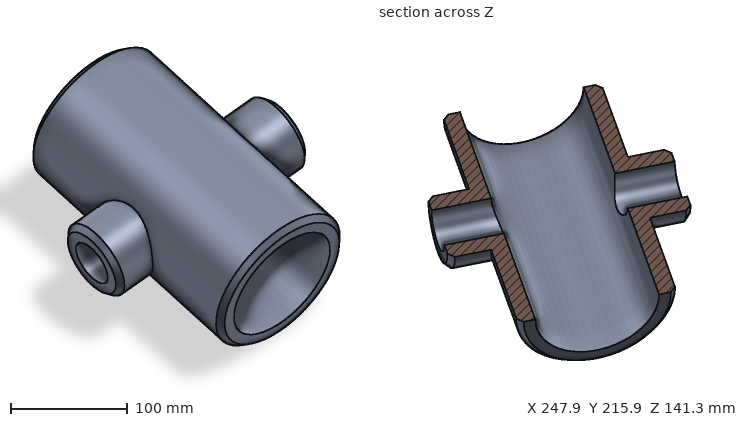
import cadquery as cq

run_length = 247.9
run_diameter = 141.3

branch_span = 215.9
branch_diameter = 73.0

wall = 15.88
end_bevel = 5.3

run_plane = cq.Plane(origin=(0, 0, 0), xDir=(0, 0, 1), normal=(1, 0, 0))
branch_plane = cq.Plane(origin=(0, 0, 0), xDir=(0, 0, 1), normal=(0, 1, 0))


def centred_cylinder(plane, length, diameter):
    """Cylinder extending half its length to each side of the plane."""
    end_face = cq.Workplane(plane).workplane(offset=-length / 2)
    return end_face.circle(diameter / 2).extrude(length)


def bevelled_bar(plane, length, diameter):
    """Solid bar with a 45 degree bevel around both ends."""
    return centred_cylinder(plane, length, diameter).edges("%CIRCLE").chamfer(end_bevel)


def bore(plane, length, diameter):
    """Cylinder that hollows a pipe of the given outer diameter along its whole length."""
    return centred_cylinder(plane, length, diameter - 2 * wall)


run = bevelled_bar(run_plane, run_length, run_diameter)
branches = bevelled_bar(branch_plane, branch_span, branch_diameter)

run_bore = bore(run_plane, run_length, run_diameter)
branch_bore = bore(branch_plane, branch_span, branch_diameter)

result = run.union(branches).cut(run_bore).cut(branch_bore)